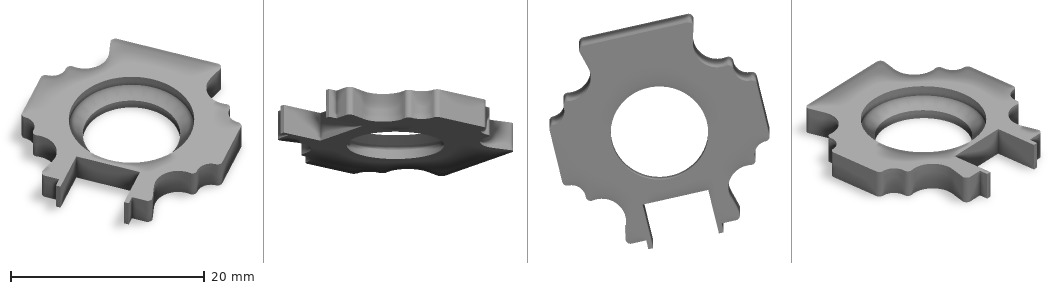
import cadquery as cq
import math

body_size = 22.0
half_body = body_size / 2
thickness = 3.0
corner_radius = 0.5

scallop_radius = 2.5
scallop_center = 8.0
flare_angle = math.radians(15)

notch_radius = 1.5
notch_center_x = half_body - corner_radius
notch_center_y = scallop_center - math.sqrt(
    (scallop_radius + notch_radius) ** 2 - (notch_center_x - scallop_center) ** 2
)

seat_diameter = 13.0
seat_depth = 1.13
bore_diameter = 10.1
bore_length = 0.97

slot_width = 7.0
slot_end_y = -7.15
total_length = 23.0
tab_thickness = 0.5
tab_end_y = half_body - total_length


def on_circle(center, radius, angle):
    """Point on a circle at an angle measured from +X."""
    return (center[0] + radius * math.cos(angle), center[1] + radius * math.sin(angle))


def arc_points(center, radius, start_angle, end_angle):
    """Middle and end points of an arc."""
    middle_angle = (start_angle + end_angle) / 2
    return on_circle(center, radius, middle_angle), on_circle(center, radius, end_angle)


def make_corner_waste():
    """Waste outside the plate outline at the +X +Y corner of the square."""
    scallop = (scallop_center, scallop_center)
    notch = (notch_center_x, notch_center_y)
    side_round = (notch_center_x, notch_center_y - notch_radius - corner_radius)

    to_scallop = scallop_radius + corner_radius
    to_notch = notch_radius + corner_radius
    between = scallop_radius + notch_radius
    spread = math.acos((to_scallop**2 + between**2 - to_notch**2) / (2 * to_scallop * between))
    notch_direction = math.atan2(notch[1] - scallop[1], notch[0] - scallop[0])
    scallop_end = notch_direction - spread
    shoulder = on_circle(scallop, to_scallop, scallop_end)
    notch_from_shoulder = math.atan2(notch[1] - shoulder[1], notch[0] - shoulder[0])

    flare_start = math.pi - flare_angle
    scallop_sweep = (flare_start - 2 * math.pi, scallop_end)
    shoulder_sweep = (scallop_end + math.pi, notch_from_shoulder)
    notch_sweep = (notch_from_shoulder + math.pi, math.pi * 3 / 2)
    side_sweep = (math.pi / 2, 0)

    flare_x, flare_y = on_circle(scallop, scallop_radius, flare_start)
    flare_tip_x = flare_x + (half_body - flare_y) * math.tan(flare_angle)

    return (
        cq.Workplane("XY")
        .moveTo(half_body, half_body)
        .lineTo(flare_tip_x, half_body)
        .lineTo(flare_x, flare_y)
        .threePointArc(*arc_points(scallop, scallop_radius, *scallop_sweep))
        .threePointArc(*arc_points(shoulder, corner_radius, *shoulder_sweep))
        .threePointArc(*arc_points(notch, notch_radius, *notch_sweep))
        .threePointArc(*arc_points(side_round, corner_radius, *side_sweep))
        .close()
        .extrude(thickness)
    )


def make_plate():
    """Square plate with four shaped corners and rounded flare tips."""
    waste = make_corner_waste()
    mirrored_waste = waste.mirror("YZ")
    plate = cq.Workplane("XY").rect(body_size, body_size).extrude(thickness)
    for piece in (waste, mirrored_waste):
        plate = plate.cut(piece).cut(piece.mirror("XZ"))
    flare_tips = plate.faces("<Y or >Y").edges("|Z")
    return flare_tips.fillet(corner_radius)


def make_opening():
    """Wide seat at the top, a conical step, and a narrower bore at the bottom."""
    seat_radius = seat_diameter / 2
    bore_radius = bore_diameter / 2
    return (
        cq.Workplane("XZ")
        .lineTo(bore_radius, 0)
        .lineTo(bore_radius, bore_length)
        .lineTo(seat_radius, thickness - seat_depth)
        .lineTo(seat_radius, thickness)
        .lineTo(0, thickness)
        .close()
        .revolve(360, (0, 0, 0), (0, 1, 0))
    )


def block_to_tab_end(width, start_y):
    """Full-height block centered on X, reaching from start_y to the tab ends."""
    length = start_y - tab_end_y
    return (
        cq.Workplane("XY")
        .center(0, start_y - length / 2)
        .rect(width, length)
        .extrude(thickness)
    )


tab_block = block_to_tab_end(slot_width + 2 * tab_thickness, slot_end_y)
slot = block_to_tab_end(slot_width, slot_end_y)

result = make_plate().cut(make_opening()).union(tab_block).cut(slot)